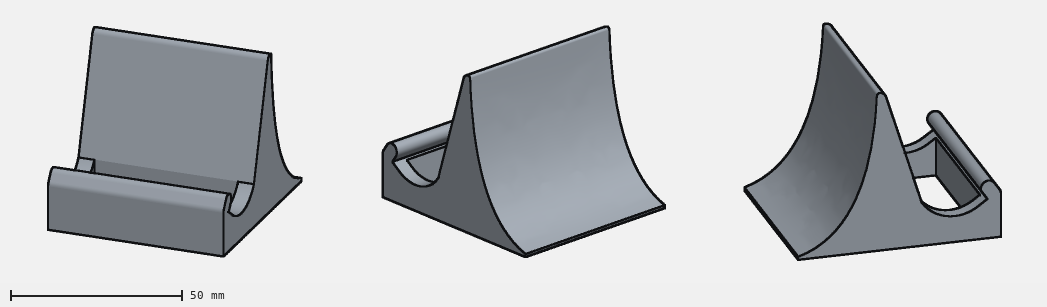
import cadquery as cq
import math

width = 55.0
depth = 61.65
height = 49.7

front_y = -depth / 2
rear_y = depth / 2

rest_base_y = -6.8
rest_base_z = 13.55
rest_lean = 17.4
crest_radius = 2.1
crest_rear_radius = 0.85

tail_height = 1.0
curve_control_y = 8.75
curve_control_z = 7.3

cradle_radius = 12.0
cradle_floor_z = 8.2
ramp_angle = 35.0

lip_radius = 2.3
lip_length = 2.65
lip_root_y = -26.65

wall = 5.0


def from_point(point, distance, angle):
    """Return the (y, z) point at a distance and an angle in degrees from another point."""
    radians = math.radians(angle)
    return (point[0] + distance * math.cos(radians), point[1] + distance * math.sin(radians))


def side_profile():
    """Draw the closed outline of the stand in the YZ plane."""
    rest_base = (rest_base_y, rest_base_z)

    centre_z = cradle_floor_z + cradle_radius
    centre_y = rest_base_y - math.sqrt(cradle_radius**2 - (centre_z - rest_base_z) ** 2)
    cradle_bottom = (centre_y, cradle_floor_z)
    ramp_start = from_point((centre_y, centre_z), cradle_radius, 270 - ramp_angle)

    ramp_rise = (ramp_start[0] - lip_root_y) * math.tan(math.radians(ramp_angle))
    lip_root = (lip_root_y, ramp_start[1] + ramp_rise)
    lip_direction = 90 - ramp_angle
    outward = lip_direction + 90
    lip_inner = from_point(lip_root, lip_length, lip_direction)
    lip_centre = from_point(lip_inner, lip_radius, outward)
    lip_tip = from_point(lip_centre, lip_radius, lip_direction)
    lip_outer = from_point(lip_centre, lip_radius, outward)

    corner_drop = (lip_outer[0] - front_y) * math.tan(math.radians(lip_direction))
    corner = (front_y, lip_outer[1] - corner_drop)
    blend_reach = lip_radius * math.tan(math.radians(ramp_angle / 2))
    blend_top = from_point(corner, blend_reach, lip_direction)
    blend_bottom = (front_y, corner[1] - blend_reach)
    blend_centre = (front_y + lip_radius, blend_bottom[1])
    blend_middle = from_point(blend_centre, lip_radius, 180 - ramp_angle / 2)

    top_corner_y = rest_base_y + (height - rest_base_z) * math.tan(math.radians(rest_lean))
    crest_reach = crest_radius * math.tan(math.radians((90 - rest_lean) / 2))
    crest_centre = (top_corner_y + crest_reach, height - crest_radius)
    crest_front = from_point(crest_centre, crest_radius, 180 - rest_lean)
    crest_middle = from_point(crest_centre, crest_radius, 135 - rest_lean / 2)
    crest_top = (crest_centre[0], height)
    crest_rear_centre = (crest_top[0], height - crest_rear_radius)
    crest_rear_middle = from_point(crest_rear_centre, crest_rear_radius, 45)
    crest_rear = from_point(crest_rear_centre, crest_rear_radius, 0)

    tail_top = (rear_y, tail_height)
    curve_control = (curve_control_y, curve_control_z)

    return (
        cq.Workplane("YZ")
        .moveTo(front_y, 0)
        .lineTo(rear_y, 0)
        .lineTo(*tail_top)
        .bezier([tail_top, curve_control, crest_rear])
        .threePointArc(crest_rear_middle, crest_top)
        .threePointArc(crest_middle, crest_front)
        .lineTo(*rest_base)
        .threePointArc(cradle_bottom, ramp_start)
        .lineTo(*lip_root)
        .lineTo(*lip_inner)
        .threePointArc(lip_tip, lip_outer)
        .lineTo(*blend_top)
        .threePointArc(blend_middle, blend_bottom)
        .close()
    )


def window():
    """Make the block that opens the cradle floor below the foot of the backrest."""
    window_front_y = front_y + wall
    window_width = width - 2 * wall
    window_depth = rest_base_y - window_front_y
    block = cq.Workplane("XY").box(
        window_width, window_depth, rest_base_z, centered=(True, False, False)
    )
    return block.translate((0, window_front_y, 0))


stand = side_profile().extrude(width).translate((-width / 2, 0, 0))
result = stand.cut(window())